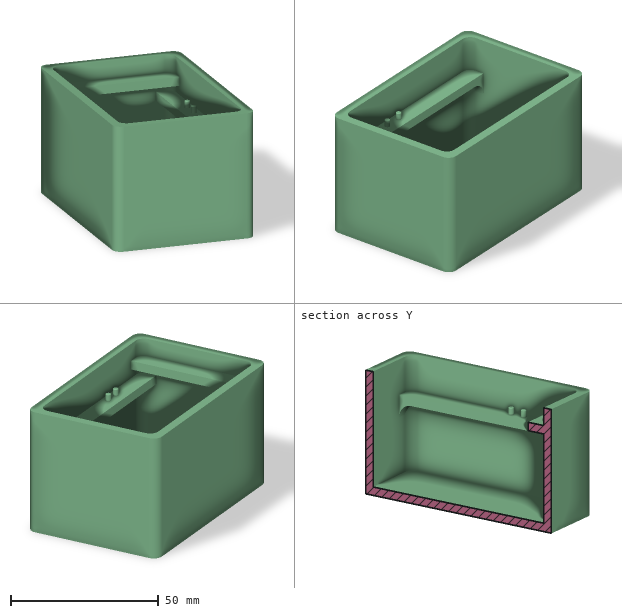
import cadquery as cq

LENGTH = 76.2
WALL = LENGTH / 24
WIDTH = 16 * WALL
HEIGHT = 14 * WALL
CORNER_RADIUS = WALL
INNER_LENGTH = LENGTH - 2 * WALL
INNER_WIDTH = WIDTH - 2 * WALL

RAIL_WIDTH = 2 * WALL
RAIL_THICKNESS = WALL
RAIL_TOP = HEIGHT - 4 * WALL
RAIL_END_FILLET = 1.5 * WALL

LEDGE_WIDTH = 2 * WALL
LEDGE_TOP = HEIGHT - 2 * WALL
LEDGE_THICKNESS = WALL

PIN_DIAMETER = 1.9
PIN_HEIGHT = 2.5
PIN_TIP_FILLET = 0.25
PIN_GROUP_X = -10.8
BACK_PIN_SPACING = 6.3
FRONT_PIN_SPACING = 5.1
PIN_WALL_DISTANCE = 2.5
PIN_Y = INNER_WIDTH / 2 - PIN_WALL_DISTANCE


def rounded_block(length, width, height, base):
    """Upright block centred on Z with rounded vertical edges."""
    block = cq.Workplane("XY").workplane(offset=base).rect(length, width).extrude(height)
    return block.edges("|Z").fillet(CORNER_RADIUS)


def rail(side):
    """Rail on the +Y (side = 1) or -Y (side = -1) wall."""
    end = INNER_LENGTH / 2
    underside = RAIL_TOP - RAIL_THICKNESS
    profile = (
        cq.Workplane("XZ")
        .moveTo(-end, RAIL_TOP)
        .lineTo(end, RAIL_TOP)
        .lineTo(end, underside - RAIL_END_FILLET)
        .radiusArc((end - RAIL_END_FILLET, underside), -RAIL_END_FILLET)
        .lineTo(-end, underside)
        .close()
    )
    centre_y = side * (INNER_WIDTH - RAIL_WIDTH) / 2
    return profile.extrude(RAIL_WIDTH / 2, both=True).translate((0, centre_y, 0))


def ledge():
    """Bar spanning the box along the -X wall."""
    centre_x = (LEDGE_WIDTH - INNER_LENGTH) / 2
    bar = cq.Workplane("XY").workplane(offset=LEDGE_TOP - LEDGE_THICKNESS)
    return bar.center(centre_x, 0).rect(LEDGE_WIDTH, INNER_WIDTH).extrude(LEDGE_THICKNESS)


def pin_pair(y, spacing):
    """Two pins on a rail, spaced evenly about the pin group position."""
    centres = [(PIN_GROUP_X - spacing / 2, y), (PIN_GROUP_X + spacing / 2, y)]
    base = cq.Workplane("XY").workplane(offset=RAIL_TOP)
    pins = base.pushPoints(centres).circle(PIN_DIAMETER / 2).extrude(PIN_HEIGHT)
    return pins.faces(">Z").edges().fillet(PIN_TIP_FILLET)


outer = rounded_block(LENGTH, WIDTH, HEIGHT, 0)
cavity = rounded_block(INNER_LENGTH, INNER_WIDTH, HEIGHT - WALL, WALL)

fittings = rail(1).union(rail(-1)).union(ledge()).intersect(cavity)

result = outer.cut(cavity).union(fittings)
result = result.union(pin_pair(PIN_Y, BACK_PIN_SPACING))
result = result.union(pin_pair(-PIN_Y, FRONT_PIN_SPACING))